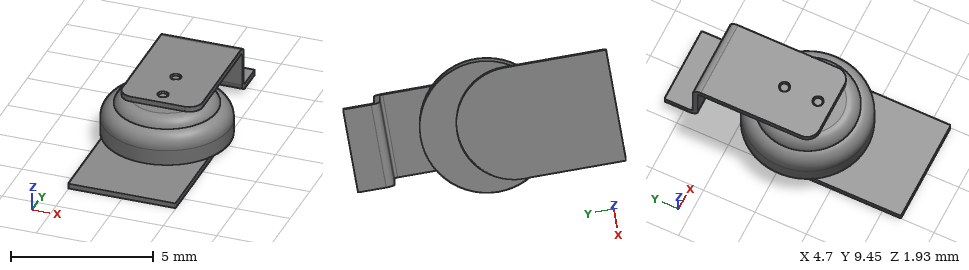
import cadquery as cq
import math

SHEET = 0.2
OVERALL_LENGTH = 9.45
OVERALL_HEIGHT = 1.93

CELL_RADIUS = 2.348
CELL_RIM_TOP = 0.79
CELL_TOP = OVERALL_HEIGHT - SHEET
SHOULDER_RADIUS = 1.87
CELL_FLAT_RADIUS = 1.35
RIM_ROUND = 0.6
CAP_ROUND = 0.57

LOWER_WIDTH = 4.01
LOWER_FRONT = -4.6
LOWER_ARC_CENTRE = -0.95
LOWER_CORNER = 0.05

UPPER_WIDTH = 3.0
UPPER_FRONT = -0.95
UPPER_BACK = LOWER_FRONT + OVERALL_LENGTH
UPPER_CORNER = 0.49
FOOT_CORNER = 0.04
WALL_BACK = 3.74
FOOT_BOTTOM = 0.15
BEND_INNER = 0.1
BEND_OUTER = BEND_INNER + SHEET

DIMPLE_DIAMETER = 0.4
DIMPLE_FLOOR_DIAMETER = 0.31
DIMPLE_DEPTH = 0.06
DIMPLE_POSITIONS = [0.9, -0.41]


def make_cell():
    """Revolve the cell profile: straight rim, rounded rim shoulder and rounded cap."""
    rim_centre = CELL_RADIUS - RIM_ROUND
    shoulder_angle = math.acos((SHOULDER_RADIUS - rim_centre) / RIM_ROUND)
    shoulder_z = CELL_RIM_TOP + RIM_ROUND * math.sin(shoulder_angle)
    rim_mid = (
        rim_centre + RIM_ROUND * math.cos(shoulder_angle / 2),
        CELL_RIM_TOP + RIM_ROUND * math.sin(shoulder_angle / 2),
    )

    cap_centre_z = CELL_TOP - CAP_ROUND
    cap_start = math.atan2(shoulder_z - cap_centre_z, SHOULDER_RADIUS - CELL_FLAT_RADIUS)
    cap_mid_angle = (cap_start + math.pi / 2) / 2
    cap_mid = (
        CELL_FLAT_RADIUS + CAP_ROUND * math.cos(cap_mid_angle),
        cap_centre_z + CAP_ROUND * math.sin(cap_mid_angle),
    )
    return (
        cq.Workplane("XZ")
        .moveTo(0, SHEET)
        .lineTo(CELL_RADIUS, SHEET)
        .lineTo(CELL_RADIUS, CELL_RIM_TOP)
        .threePointArc(rim_mid, (SHOULDER_RADIUS, shoulder_z))
        .threePointArc(cap_mid, (CELL_FLAT_RADIUS, CELL_TOP))
        .lineTo(0, CELL_TOP)
        .close()
        .revolve(360, (0, 0), (0, 1))
    )


def make_lower_tab():
    """Flat plate with a full-round back end and small front corners."""
    half = LOWER_WIDTH / 2
    return (
        cq.Workplane("XY")
        .moveTo(-half, LOWER_FRONT)
        .lineTo(half, LOWER_FRONT)
        .lineTo(half, LOWER_ARC_CENTRE)
        .threePointArc((0, LOWER_ARC_CENTRE + half), (-half, LOWER_ARC_CENTRE))
        .close()
        .extrude(SHEET)
        .edges("|Z and <Y")
        .fillet(LOWER_CORNER)
    )


def make_upper_tab():
    """Strip bent down behind the cell and out again, with rounded corners and dimples."""
    wall_front = WALL_BACK - SHEET
    foot_top = FOOT_BOTTOM + SHEET
    strip = (
        cq.Workplane("YZ")
        .moveTo(UPPER_FRONT, CELL_TOP)
        .lineTo(wall_front - BEND_INNER, CELL_TOP)
        .radiusArc((wall_front, CELL_TOP - BEND_INNER), BEND_INNER)
        .lineTo(wall_front, FOOT_BOTTOM + BEND_OUTER)
        .radiusArc((wall_front + BEND_OUTER, FOOT_BOTTOM), -BEND_OUTER)
        .lineTo(UPPER_BACK, FOOT_BOTTOM)
        .lineTo(UPPER_BACK, foot_top)
        .lineTo(WALL_BACK + BEND_INNER, foot_top)
        .radiusArc((WALL_BACK, foot_top + BEND_INNER), BEND_INNER)
        .lineTo(WALL_BACK, OVERALL_HEIGHT - BEND_OUTER)
        .radiusArc((WALL_BACK - BEND_OUTER, OVERALL_HEIGHT), -BEND_OUTER)
        .lineTo(UPPER_FRONT, OVERALL_HEIGHT)
        .close()
        .extrude(UPPER_WIDTH / 2, both=True)
        .edges("|Z and <Y")
        .fillet(UPPER_CORNER)
        .edges("|Z and >Y")
        .fillet(FOOT_CORNER)
    )
    for y in DIMPLE_POSITIONS:
        dimple = cq.Solid.makeCone(
            DIMPLE_FLOOR_DIAMETER / 2,
            DIMPLE_DIAMETER / 2,
            DIMPLE_DEPTH,
            pnt=cq.Vector(0, y, OVERALL_HEIGHT - DIMPLE_DEPTH),
        )
        strip = strip.cut(cq.Workplane(dimple))
    return strip


result = make_cell().union(make_lower_tab()).union(make_upper_tab())